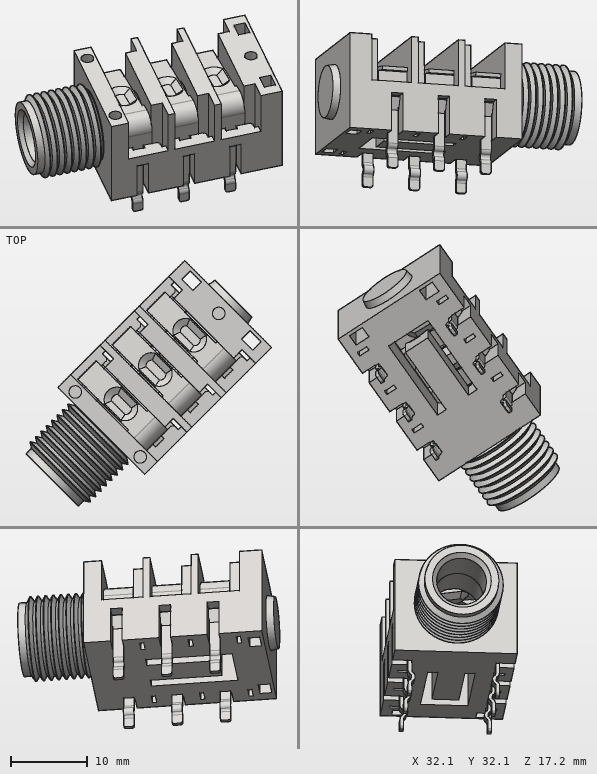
import cadquery as cq
import math

overall_size = 32.08
turn_angle = 45.0

body_width = 16.05
body_height = 12.75
nose_length = 9.08
nose_diameter = 9.7
body_length = overall_size * math.sqrt(2) - nose_length - nose_diameter / 2 - body_width / 2
axis_height = 6.55
bore_diameter = 6.5

thread_diameter = 11.1
thread_pitch = 1.0
thread_crest = 0.1
thread_count = 8

rim_length = 1.0
mouth_diameter = 7.7
ferrule_tube_diameter = 7.1
ferrule_length = 6.0

boss_length = 1.0
boss_base_diameter = 7.25
boss_tip_diameter = 6.85

slot_count = 3
slot_pitch = 6.35
first_slot_x = 4.3
slot_width = 3.88
slot_floor = 6.58
inner_half_width = 5.52
side_bay_length = 5.42
window_length = 0.55
window_width = 1.48
strip_recess_depth = 1.0
strip_flare = 0.32

groove_width = 1.55
groove_height = 5.07
barb_passage_depth = 0.5

floor_opening_half_width = 3.1
floor_rib_half_width = 1.75
floor_opening_start = 7.55

pin_hole_diameter = 1.65
pin_hole_depth = 2.0
front_pin_hole_x = 1.2
front_pin_hole_y = 6.0
rear_pin_hole_x = 21.7
rear_window_length = 1.55
rear_window_width = 2.02
rear_window_x = 22.2
rear_window_y = 5.52

sheet = 0.48
plate_outer = inner_half_width + sheet
leg_width = 1.38
leg_length = 4.5
leg_tip_radius = 0.32
kink_start = -1.25
kink_angle = math.radians(50)
kink_radius_sum = 1.25
outer_bulge_radius = 0.48
inner_bulge_radius = 0.75
barb_foot = 3.2
barb_tip_height = 4.88
barb_reach = 0.7
fixed_plate_top = 8.4

leaf_bend_height = 8.53
leaf_bend_radius = 2.0
leaf_slope = math.radians(9)
leaf_end = -6.95
leaf_narrow_width = 3.4
leaf_shoulder = 2.45

dimple_centre = -0.67
dimple_length = 4.88
dimple_width = 2.98
dimple_end_radius = 1.67
dimple_depth = 0.67
dimple_wall_run = 0.9

slot_positions = [first_slot_x + i * slot_pitch for i in range(slot_count)]
last_slot_end = slot_positions[-1] + slot_width / 2


def block(x_start, x_end, y_start, y_end, z_start, z_end):
    """Box between two corners."""
    return (
        cq.Workplane("XY")
        .box(x_end - x_start, y_end - y_start, z_end - z_start, centered=False)
        .translate((x_start, y_start, z_start))
    )


def turned(profile):
    """Solid of revolution about the jack axis from (x, radius) points."""
    return (
        cq.Workplane("XZ", origin=(0, 0, axis_height))
        .polyline(profile)
        .close()
        .revolve(360, (0, 0, 0), (1, 0, 0))
    )


def bore(x_start, x_end, diameter):
    return (
        cq.Workplane("YZ", origin=(x_start, 0, axis_height))
        .circle(diameter / 2)
        .extrude(x_end - x_start)
    )


def both_sides(shape):
    """The shape together with its mirror image across the jack axis."""
    return shape.union(shape.mirror("XZ"))


def threaded_nose():
    root = nose_diameter / 2
    crest = thread_diameter / 2
    thread_start = -nose_length + rim_length
    profile = [(thread_start, 0), (thread_start, root)]
    for i in range(thread_count):
        middle = thread_start + (i + 0.5) * thread_pitch
        profile += [
            (middle - thread_crest / 2, crest),
            (middle + thread_crest / 2, crest),
            (middle + thread_pitch / 2, root),
        ]
    profile += [(0, root), (0, 0)]
    return turned(profile)


def rear_boss():
    return turned([
        (body_length, 0),
        (body_length, boss_base_diameter / 2),
        (body_length + boss_length, boss_tip_diameter / 2),
        (body_length + boss_length, 0),
    ])


def slot_cutter(slot_x):
    """One contact slot: the cross slot, a wider bay at each side and the openings in its floor."""
    slot_start = slot_x - slot_width / 2
    slot_end = slot_x + slot_width / 2
    bay_end = slot_start + side_bay_length
    window_start = bay_end - window_length
    half = body_width / 2

    cross_slot = block(slot_start, slot_end, -half, half, slot_floor, body_height)
    bay = block(slot_start, bay_end, inner_half_width, half, slot_floor, body_height)
    window = block(window_start, bay_end, inner_half_width, inner_half_width + window_width,
                   0, slot_floor)
    strip = (
        cq.Workplane("XY", origin=(0, 0, slot_floor - strip_recess_depth))
        .polyline([
            (slot_end, inner_half_width),
            (window_start, inner_half_width),
            (window_start, plate_outer + strip_flare),
            (window_start - strip_flare, plate_outer),
            (slot_end, plate_outer),
        ])
        .close()
        .extrude(strip_recess_depth)
    )
    return cross_slot.union(both_sides(bay.union(window).union(strip)))


def leg_cutter(slot_x):
    """Seat of a leg, the side groove outside it and the passage its barb snaps through."""
    half_leg = leg_width / 2
    half_groove = groove_width / 2
    seat = block(slot_x - half_leg, slot_x + half_leg, inner_half_width, plate_outer, 0, slot_floor)
    groove = block(slot_x - half_groove, slot_x + half_groove, plate_outer, body_width / 2,
                   0, groove_height)
    passage = block(slot_x - half_groove, slot_x + half_groove,
                    plate_outer, plate_outer + barb_passage_depth, groove_height, slot_floor)
    return both_sides(seat.union(groove).union(passage))


def floor_openings():
    """Openings below the bore: one along each side of a rib, joined past the end of the rib."""
    side = block(floor_opening_start, last_slot_end,
                 floor_rib_half_width, floor_opening_half_width, 0, axis_height)
    end = block(slot_positions[-1], last_slot_end,
                -floor_rib_half_width, floor_rib_half_width, 0, axis_height)
    return both_sides(side).union(end)


def top_holes():
    pin_holes = (
        cq.Workplane("XY", origin=(0, 0, body_height - pin_hole_depth))
        .pushPoints([
            (front_pin_hole_x, -front_pin_hole_y),
            (front_pin_hole_x, front_pin_hole_y),
            (rear_pin_hole_x, 0),
        ])
        .circle(pin_hole_diameter / 2)
        .extrude(pin_hole_depth)
    )
    rear_windows = (
        cq.Workplane("XY")
        .pushPoints([(rear_window_x, -rear_window_y), (rear_window_x, rear_window_y)])
        .rect(rear_window_length, rear_window_width)
        .extrude(body_height)
    )
    return pin_holes.union(rear_windows)


def make_housing():
    body = block(0, body_length, -body_width / 2, body_width / 2, 0, body_height)
    body = body.union(threaded_nose()).union(rear_boss())
    body = body.cut(bore(-nose_length, last_slot_end, bore_diameter))
    body = body.cut(bore(-nose_length, ferrule_length - nose_length, ferrule_tube_diameter))
    for slot_x in slot_positions:
        body = body.cut(slot_cutter(slot_x)).cut(leg_cutter(slot_x))
    return body.cut(floor_openings()).cut(top_holes())


def make_ferrule():
    front = -nose_length
    rim_back = front + rim_length
    tube_end = front + ferrule_length
    mouth_chamfer = (mouth_diameter - bore_diameter) / 2
    return turned([
        (front, mouth_diameter / 2),
        (front, nose_diameter / 2),
        (rim_back, nose_diameter / 2),
        (rim_back, ferrule_tube_diameter / 2),
        (tube_end, ferrule_tube_diameter / 2),
        (tube_end, bore_diameter / 2),
        (front + mouth_chamfer, bore_diameter / 2),
    ])


def kink_arcs(face_y, bulge_radius):
    """Three tangent arcs of the kink on a leg face at a given Y, from the top down."""
    bend_radius = kink_radius_sum - bulge_radius
    half_kink = kink_radius_sum * math.sin(kink_angle)
    kink_depth = kink_radius_sum * (1 - math.cos(kink_angle))
    bend_y = face_y - bend_radius
    bulge_y = face_y - kink_depth + bulge_radius
    bulge_z = kink_start - half_kink

    def bend_point(angle):
        return (bend_y + bend_radius * math.cos(angle), kink_start - bend_radius * math.sin(angle))

    def bulge_point(angle):
        return (bulge_y - bulge_radius * math.cos(angle), bulge_z + bulge_radius * math.sin(angle))

    def mirrored(point):
        return (point[0], 2 * bulge_z - point[1])

    top_bend = [bend_point(0), bend_point(kink_angle / 2), bend_point(kink_angle)]
    bulge = [bulge_point(kink_angle), bulge_point(0), bulge_point(-kink_angle)]
    low_bend = [mirrored(point) for point in reversed(top_bend)]
    return [top_bend, bulge, low_bend]


def make_leg():
    outer_arcs = kink_arcs(plate_outer, outer_bulge_radius)
    inner_arcs = kink_arcs(inner_half_width, inner_bulge_radius)
    outline = cq.Workplane("YZ", origin=(-leg_width / 2, 0, 0)).moveTo(plate_outer, slot_floor)
    outline = outline.lineTo(*outer_arcs[0][0])
    for _, middle, end in outer_arcs:
        outline = outline.threePointArc(middle, end)
    outline = outline.lineTo(plate_outer, -leg_length).lineTo(inner_half_width, -leg_length)
    outline = outline.lineTo(*inner_arcs[-1][-1])
    for start, middle, _ in reversed(inner_arcs):
        outline = outline.threePointArc(middle, start)
    leg = outline.lineTo(inner_half_width, slot_floor).close().extrude(leg_width)
    leg = leg.faces("<Z").edges("|Y").fillet(leg_tip_radius)
    barb = (
        cq.Workplane("YZ", origin=(-groove_width / 2, 0, 0))
        .polyline([
            (plate_outer, barb_foot),
            (plate_outer + barb_reach, barb_tip_height),
            (plate_outer, groove_height),
        ])
        .close()
        .extrude(groove_width)
    )
    return leg.union(barb)


def make_fixed_contact():
    half_slot = slot_width / 2
    plate = block(-half_slot, half_slot, inner_half_width, plate_outer, slot_floor, fixed_plate_top)
    return make_leg().union(plate)


def leaf_point(y, depth):
    """Point on the sloping leaf at a given Y of its top surface and depth below that surface."""
    bend_y = plate_outer - leaf_bend_radius
    tangent_y = bend_y - leaf_bend_radius * math.sin(leaf_slope)
    tangent_z = leaf_bend_height + leaf_bend_radius * math.cos(leaf_slope)
    top_z = tangent_z + (y - tangent_y) * math.tan(leaf_slope)
    return (y + depth * math.sin(leaf_slope), top_z - depth * math.cos(leaf_slope))


def make_leaf():
    """Upright plate bent over into the sloping leaf, narrowed beyond its shoulders."""
    bend_y = plate_outer - leaf_bend_radius
    half_turn = (math.pi / 2 + leaf_slope) / 2

    def bend_point(radius, angle):
        return (bend_y + radius * math.cos(angle), leaf_bend_height + radius * math.sin(angle))

    inner_radius = leaf_bend_radius - sheet
    leaf = (
        cq.Workplane("YZ", origin=(-slot_width / 2, 0, 0))
        .moveTo(plate_outer, slot_floor)
        .lineTo(plate_outer, leaf_bend_height)
        .threePointArc(bend_point(leaf_bend_radius, half_turn),
                       bend_point(leaf_bend_radius, 2 * half_turn))
        .lineTo(*leaf_point(leaf_end, 0))
        .lineTo(*leaf_point(leaf_end, sheet))
        .lineTo(*bend_point(inner_radius, 2 * half_turn))
        .threePointArc(bend_point(inner_radius, half_turn), bend_point(inner_radius, 0))
        .lineTo(inner_half_width, slot_floor)
        .close()
        .extrude(slot_width)
    )
    for side in (-1, 1):
        trim_width = (slot_width - leaf_narrow_width) / 2
        trim = block(-trim_width / 2, trim_width / 2, -body_width / 2, leaf_shoulder, 0, body_height)
        leaf = leaf.cut(trim.translate((side * (slot_width - trim_width) / 2, 0, 0)))
    return leaf


def dimple_frustum(top_depth, bottom_depth, top_inset):
    """Frustum with the dimple's wall slope, between two depths below the leaf's top surface."""
    frustum = cq.Workplane(cq.Plane(
        origin=(0, *leaf_point(dimple_centre, top_depth)),
        xDir=(0, math.cos(leaf_slope), math.sin(leaf_slope)),
        normal=(0, math.sin(leaf_slope), -math.cos(leaf_slope)),
    ))
    height = bottom_depth - top_depth
    bottom_inset = top_inset + height * dimple_wall_run / dimple_depth
    for step, inset in ((0, top_inset), (height, bottom_inset)):
        half_length = dimple_length / 2 - inset
        half_width = dimple_width / 2 - inset
        end_radius = dimple_end_radius - inset
        straight = half_length - end_radius + math.sqrt(end_radius**2 - half_width**2)
        frustum = (
            frustum.workplane(offset=step)
            .moveTo(-straight, -half_width)
            .lineTo(straight, -half_width)
            .threePointArc((half_length, 0), (straight, half_width))
            .lineTo(-straight, half_width)
            .threePointArc((-half_length, 0), (-straight, -half_width))
            .close()
        )
    return frustum.loft(ruled=True)


def make_spring_contact():
    run_ratio = dimple_wall_run / dimple_depth
    wall_outset = sheet * (math.sqrt(1 + run_ratio**2) - run_ratio)
    cup = dimple_frustum(sheet, dimple_depth + sheet, -wall_outset)
    contact = make_leaf().union(cup).cut(dimple_frustum(0, dimple_depth, 0))
    return contact.union(make_leg()).mirror("XZ")


housing = make_housing()
ferrule = make_ferrule()
fixed_contact = make_fixed_contact()
spring_contact = make_spring_contact()

bodies = [housing, ferrule]
for slot_x in slot_positions:
    bodies.append(fixed_contact.translate((slot_x, 0, 0)))
    bodies.append(spring_contact.translate((slot_x, 0, 0)))

result = cq.Compound.makeCompound([
    body.rotate((0, 0, 0), (0, 0, 1), turn_angle).solids().val() for body in bodies
])